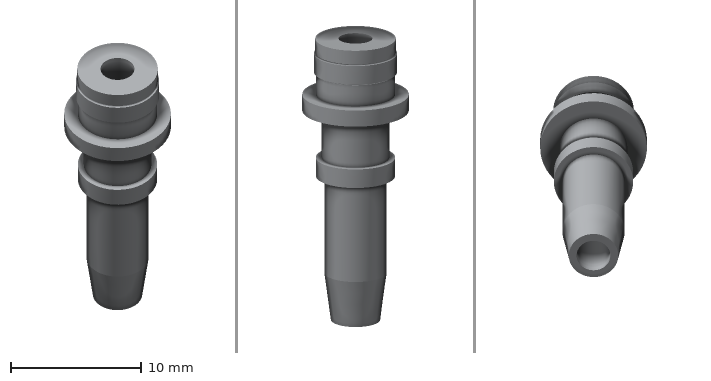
import cadquery as cq

total_length = 22.7
bore_diameter = 2.6

tip_end_diameter = 3.8
tip_length = 3.8

shaft_diameter = 4.8
ring_diameter = 6.1
neck_diameter = 5.2
flange_diameter = 8.2
collar_diameter = 6.1
band_diameter = 6.4
head_diameter = 6.2

groove_diameter = 4.0
groove_width = 0.1

shaft_top = 11.6
ring_top = 13.1
neck_top = 16.9
flange_top = 18.2
collar_top = 19.9
band_bottom = collar_top + groove_width
band_top = 21.5
head_bottom = band_top + groove_width

sections = [
    (shaft_diameter, shaft_top),
    (ring_diameter, ring_top),
    (neck_diameter, neck_top),
    (flange_diameter, flange_top),
    (collar_diameter, collar_top),
    (groove_diameter, band_bottom),
    (band_diameter, band_top),
    (groove_diameter, head_bottom),
    (head_diameter, total_length),
]


def turned_body():
    """Revolve the stepped outline about the Z axis."""
    outline = [(0, 0), (tip_end_diameter / 2, 0)]
    section_bottom = tip_length
    for diameter, section_top in sections:
        outline.append((diameter / 2, section_bottom))
        outline.append((diameter / 2, section_top))
        section_bottom = section_top
    outline.append((0, total_length))
    return cq.Workplane("XZ").polyline(outline).close().revolve(360, (0, 0, 0), (0, 1, 0))


def through_bore():
    """Cylinder that clears the full length of the part."""
    return cq.Workplane("XY").circle(bore_diameter / 2).extrude(total_length)


result = turned_body().cut(through_bore())